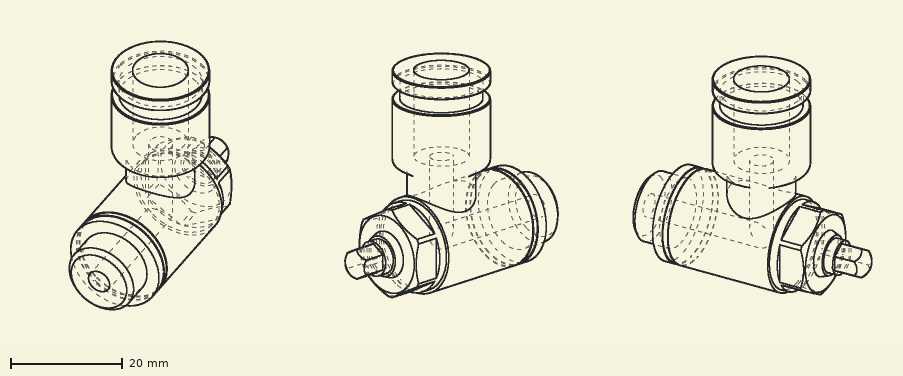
import cadquery as cq
import math


nose_end = -23.45
nose_length = 6.0
washer_thickness = 2.0
seal_groove_width = 1.1
barrel_end = 6.55
collar_length = 1.65
nut_thickness = 5.15
cone_length = 1.45
stem_end = 16.73
total_length = 45.95
tip_end = nose_end + total_length
washer_front = nose_end + nose_length
washer_back = washer_front + washer_thickness
barrel_front = washer_back + seal_groove_width
nut_base = barrel_end + collar_length
nut_end = nut_base + nut_thickness
cone_end = nut_end + cone_length

barrel_diameter = 18.0
seal_groove_diameter = 17.7
nose_diameter = 13.15
nose_chamfer = 0.9
collar_diameter = 16.8
cone_base_diameter = 8.65
cone_top_diameter = 7.55
stem_diameter = 6.5

nut_across_flats = 15.0
nut_chamfer_radial = 1.2
nut_chamfer_angle = 34

tip_across_flats = 5.0
dome_radius = 3.25

socket_top = 32.0
cap_thickness = 2.5
cap_groove_width = 2.95
head_diameter = 17.7
cap_groove_diameter = 15.0
neck_diameter = 12.4
neck_top = 12.9
shoulder_angle = 30
shoulder_radius = 1.0
neck_fillet = 0.65
rim_chamfer = 0.2
cap_bottom = socket_top - cap_thickness
head_top = cap_bottom - cap_groove_width
shoulder_height = (head_diameter - neck_diameter) / 2 * math.tan(math.radians(shoulder_angle))
shoulder_top = neck_top + shoulder_height

tube_diameter = 10.0
tube_depth = 16.55
passage_diameter = 4.3


def cylinder_y(diameter, start, end):
    """Cylinder on the Y axis between two stations."""
    axis_plane = cq.Plane(origin=(0, start, 0), xDir=(1, 0, 0), normal=(0, 1, 0))
    return cq.Workplane(axis_plane).circle(diameter / 2).extrude(end - start)


def cylinder_z(diameter, bottom, top):
    """Cylinder on the Z axis between two heights."""
    return cq.Workplane("XY", origin=(0, 0, bottom)).circle(diameter / 2).extrude(top - bottom)


def hexagon_y(across_flats, start, end):
    """Hexagonal prism on the Y axis with flats facing +X and -X."""
    across_corners = across_flats / math.cos(math.radians(30))
    prism = cq.Workplane("XZ").polygon(6, across_corners).extrude(start - end)
    return prism.rotate((0, 0, 0), (0, 1, 0), 30).translate((0, start, 0))


def revolve_y(outline):
    """Solid of revolution about Y from (radius, y) points."""
    return cq.Workplane("XY").polyline(outline).close().revolve(360, (0, 0), (0, 1))


def make_barrel():
    nose = cylinder_y(nose_diameter, nose_end, washer_front).faces("<Y").chamfer(nose_chamfer)
    washer = cylinder_y(barrel_diameter, washer_front, washer_back)
    seal = cylinder_y(seal_groove_diameter, washer_back, barrel_front)
    barrel = cylinder_y(barrel_diameter, barrel_front, barrel_end)
    collar = cylinder_y(collar_diameter, barrel_end, nut_base)
    return nose.union(washer).union(seal).union(barrel).union(collar)


def make_nut():
    corner_radius = collar_diameter / 2
    chamfer_depth = nut_chamfer_radial * math.tan(math.radians(nut_chamfer_angle))
    envelope = revolve_y([
        (0, nut_base),
        (corner_radius, nut_base),
        (corner_radius, nut_end - chamfer_depth),
        (corner_radius - nut_chamfer_radial, nut_end),
        (0, nut_end),
    ])
    return hexagon_y(nut_across_flats, nut_base, nut_end).intersect(envelope)


def make_stem():
    """Cone, round stem and domed hexagonal tip."""
    shaft = revolve_y([
        (0, nut_end),
        (cone_base_diameter / 2, nut_end),
        (cone_top_diameter / 2, cone_end),
        (stem_diameter / 2, cone_end),
        (stem_diameter / 2, stem_end),
        (0, stem_end),
    ])
    dome_center = tip_end - dome_radius
    dome = cq.Workplane("XY", origin=(0, dome_center, 0)).sphere(dome_radius)
    dome_envelope = cylinder_y(2 * dome_radius, stem_end, dome_center).union(dome)
    tip = hexagon_y(tip_across_flats, stem_end, tip_end).intersect(dome_envelope)
    return shaft.union(tip)


def make_socket():
    neck_radius = neck_diameter / 2
    head_radius = head_diameter / 2
    head = (
        cq.Workplane("XZ")
        .polyline([
            (0, 0),
            (neck_radius, 0),
            (neck_radius, neck_top),
            (head_radius, shoulder_top),
            (head_radius, head_top),
            (0, head_top),
        ])
        .close()
        .revolve(360, (0, 0), (0, 1))
    )
    head = head.faces(">Z").chamfer(rim_chamfer)
    head = head.edges(cq.NearestToPointSelector((0, 0, shoulder_top))).fillet(shoulder_radius)
    head = head.edges(cq.NearestToPointSelector((0, 0, neck_top))).fillet(neck_fillet)
    groove = cylinder_z(cap_groove_diameter, head_top, cap_bottom)
    cap = cylinder_z(head_diameter, cap_bottom, socket_top).faces("<Z or >Z").chamfer(rim_chamfer)
    return head.union(groove).union(cap)


def make_bores():
    """Tube bore and an elbow passage with a ball-shaped corner."""
    tube = cylinder_z(tube_diameter, socket_top - tube_depth, socket_top)
    upper_passage = cylinder_z(passage_diameter, 0, socket_top)
    nose_passage = cylinder_y(passage_diameter, nose_end, 0)
    corner = cq.Workplane("XY").sphere(passage_diameter / 2)
    return tube.union(upper_passage).union(nose_passage).union(corner)


body = make_barrel().union(make_nut()).union(make_stem()).union(make_socket())
result = body.cut(make_bores())